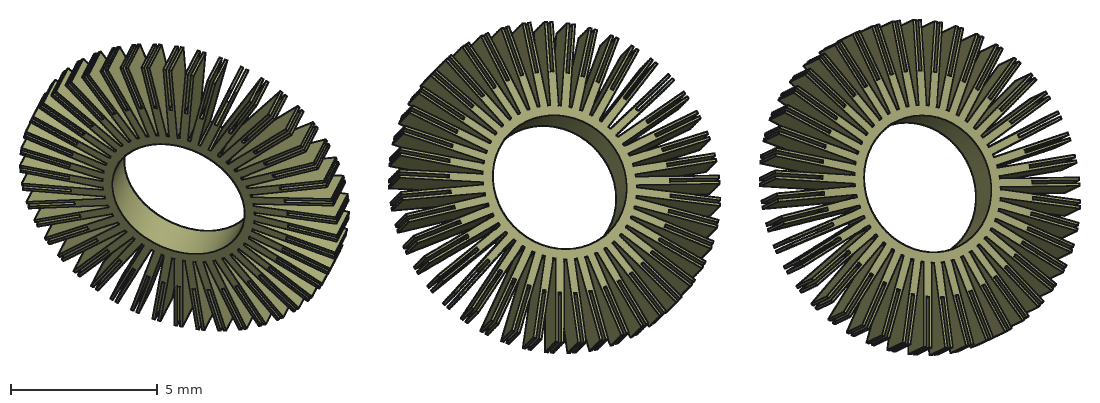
import cadquery as cq
import math

thickness = 1.29
bore_diameter = 4.75
ring_outer_radius = 2.73

overall_width = 11.39
fin_count = 45
fin_width = 0.3
pitch_angle = 360 / fin_count

widest_fin_angle = math.radians(pitch_angle / 4)
fin_tip_distance = (
    overall_width / 2 - fin_width / 2 * math.sin(widest_fin_angle)
) / math.cos(widest_fin_angle)

slot_width = 0.1
slot_root_distance = 3.93

fin_root_distance = (bore_diameter / 2 + ring_outer_radius) / 2


def make_ring():
    ring = cq.Workplane("XZ").circle(ring_outer_radius).circle(bore_diameter / 2).extrude(thickness)
    return ring.translate((0, thickness / 2, 0))


def radial_bar(width, inner_distance, outer_distance):
    """Full-thickness bar pointing along -Z between two distances from the axis."""
    length = outer_distance - inner_distance
    middle_distance = (inner_distance + outer_distance) / 2
    return cq.Workplane("XY").box(width, thickness, length).translate((0, 0, -middle_distance))


def make_forked_fin():
    fin = radial_bar(fin_width, fin_root_distance, fin_tip_distance)
    slot = radial_bar(slot_width, slot_root_distance, fin_tip_distance)
    return fin.cut(slot)


def make_fins():
    fin = make_forked_fin().val()
    return [fin.rotate((0, 0, 0), (0, 1, 0), index * pitch_angle) for index in range(fin_count)]


ring = make_ring().val()
result = cq.Workplane("XY").newObject([ring.fuse(*make_fins())]).clean()